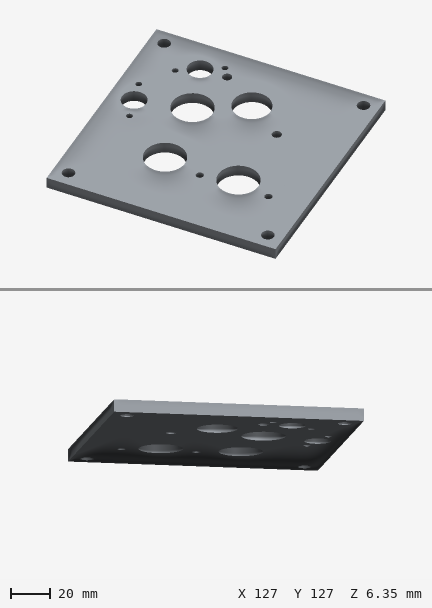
import math

import cadquery as cq

plate_side = 127.0
plate_thickness = 6.35

corner_hole_diameter = 6.8
corner_hole_inset = 8.2

large_opening_diameter = 22.2
large_opening_centres = [(-21.1, 16.8), (-17.0, -23.55), (23.75, -23.55)]
medium_opening_diameter = 20.6
medium_opening_centre = (5.05, 30.95)

small_opening_diameter = 13.45
screw_hole_diameter = 3.4
screw_circle_radius = 12.5
small_openings = [
    ((-30.5, 45.1), 30.0),
    ((-50.0, 9.5), 105.0),
]

wide_pin_diameter = 5.15
wide_pin_centres = [(-15.7, 45.55), (25.8, 16.45)]
narrow_pin_diameter = 4.1
narrow_pin_centres = [(4.65, -28.45), (42.7, -28.45)]


def make_plate():
    return cq.Workplane("XY").box(
        plate_side, plate_side, plate_thickness, centered=(True, True, False)
    )


def cut_holes(body, centres, diameter):
    """Cut round holes straight through the plate."""
    drills = cq.Workplane("XY").pushPoints(centres).circle(diameter / 2).extrude(plate_thickness)
    return body.cut(drills)


def corner_centres():
    offset = plate_side / 2 - corner_hole_inset
    return [(sx * offset, sy * offset) for sx in (-1, 1) for sy in (-1, 1)]


def screw_pair(centre, angle):
    """Two points on opposite sides of a small opening."""
    dx = screw_circle_radius * math.cos(math.radians(angle))
    dy = screw_circle_radius * math.sin(math.radians(angle))
    x, y = centre
    return [(x + dx, y + dy), (x - dx, y - dy)]


plate = make_plate()
plate = cut_holes(plate, corner_centres(), corner_hole_diameter)
plate = cut_holes(plate, large_opening_centres, large_opening_diameter)
plate = cut_holes(plate, [medium_opening_centre], medium_opening_diameter)
for opening_centre, screw_angle in small_openings:
    plate = cut_holes(plate, [opening_centre], small_opening_diameter)
    plate = cut_holes(plate, screw_pair(opening_centre, screw_angle), screw_hole_diameter)
plate = cut_holes(plate, wide_pin_centres, wide_pin_diameter)
plate = cut_holes(plate, narrow_pin_centres, narrow_pin_diameter)

result = plate